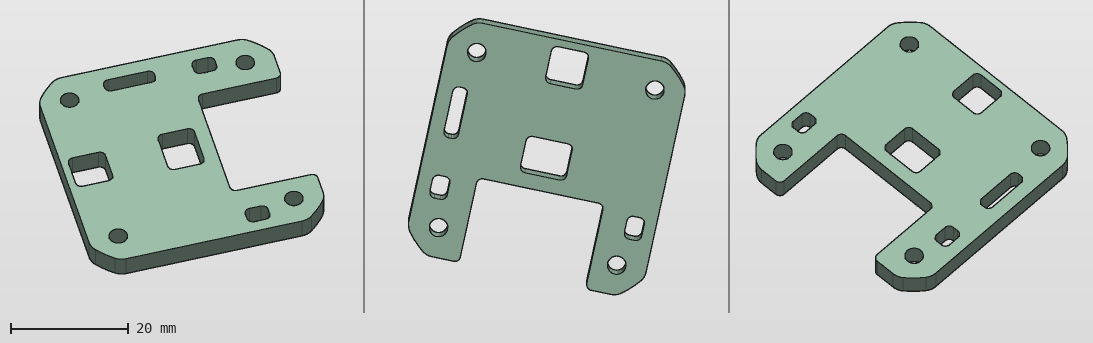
import cadquery as cq
import math

side = 41.2
thickness = 4.0
half = side / 2

corner_setback = 5.1
blend_radius = 2.9
blend_angle = math.radians(38)

hole_spacing = 30.9
hole_diameter = 3.15

notch_left = -10.75
notch_width = 21.9
notch_floor = 5.65
notch_mouth_radius = 1.0
notch_floor_radius = 1.0

windows = [
    (-16.7, 8.6, 3.0, 4.0, 1.0),
    (17.05, 8.6, 3.0, 4.0, 1.0),
    (-16.75, -4.55, 2.5, 8.95, 1.0),
    (-0.1, -0.1, 8.0, 6.4, 1.0),
    (0.1, -16.05, 6.43, 6.5, 1.0),
]


def corner_points():
    """Points along the -X, -Y corner, as distances from its sharp corner."""
    along = corner_setback - blend_radius * math.sin(blend_angle)
    inset = blend_radius * (1 - math.cos(blend_angle))
    blend_mid = (
        blend_radius * (1 - math.cos(blend_angle / 2)),
        corner_setback - blend_radius * math.sin(blend_angle / 2),
    )
    half_turn = math.pi / 4 - blend_angle
    half_chord = (along - inset) / math.sqrt(2)
    bulge = half_chord * math.tan(half_turn / 2)
    middle = (along + inset) / 2 - bulge / math.sqrt(2)
    return [
        (0, corner_setback),
        blend_mid,
        (inset, along),
        (middle, middle),
        (along, inset),
        blend_mid[::-1],
        (corner_setback, 0),
    ]


def make_plate():
    """Square plate with all four corners rounded, built counter-clockwise."""
    corner = [(x - half, y - half) for x, y in corner_points()]
    outline = cq.Workplane("XY").moveTo(*corner[0])
    for quarter in range(4):
        if quarter > 0:
            outline = outline.lineTo(*corner[0])
        for start in range(1, len(corner), 2):
            outline = outline.threePointArc(corner[start], corner[start + 1])
        corner = [(-y, x) for x, y in corner]
    return outline.close().extrude(thickness)


def cut_notch(plate):
    """Cut the notch and round its mouth and floor corners."""
    notch_depth = half - notch_floor
    cutter = cq.Workplane("XY").box(notch_width, notch_depth, thickness, centered=False)
    plate = plate.cut(cutter.translate((notch_left, notch_floor, 0)))
    for y, radius in ((half, notch_mouth_radius), (notch_floor, notch_floor_radius)):
        for x in (notch_left, notch_left + notch_width):
            edge = cq.selectors.NearestToPointSelector((x, y, thickness / 2))
            plate = plate.edges("|Z").edges(edge).fillet(radius)
    return plate


def make_window(x, y, width, height, radius):
    """Cutter for one rounded window through the plate."""
    block = cq.Workplane("XY").center(x, y).rect(width, height).extrude(thickness)
    return block.edges("|Z").fillet(radius)


result = cut_notch(make_plate())

for window in windows:
    result = result.cut(make_window(*window))

holes = (
    cq.Workplane("XY")
    .rect(hole_spacing, hole_spacing, forConstruction=True)
    .vertices()
    .circle(hole_diameter / 2)
    .extrude(thickness)
)
result = result.cut(holes)